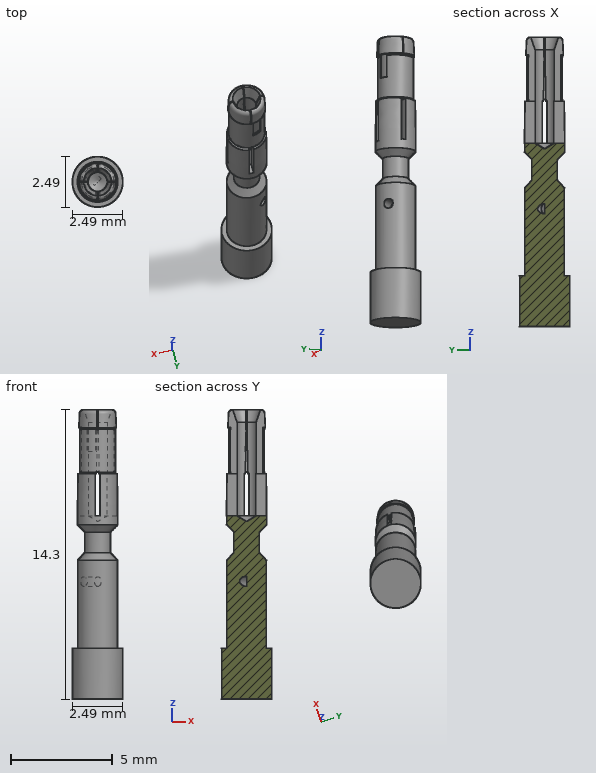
import cadquery as cq
import math

total_height = 14.25
collar_top = 2.51
barrel_top = 6.84
waist_bottom = 7.21
waist_top = 8.22
collet_bottom = 8.58
collet_taper_start = 9.58
collet_top = 11.1
sleeve_bottom = 11.17
sleeve_top = 13.28
head_bottom = 13.37
head_shoulder = 14.04

collar_radius = 1.247
barrel_radius = 0.98
collet_radius = 1.0
waist_radius = collet_radius - (collet_bottom - waist_top)
collet_top_radius = 0.976
sleeve_radius = 0.88
sleeve_wall = 0.09
tine_radius = sleeve_radius - sleeve_wall
head_radius = 0.93
shoulder_radius = 0.9
lip_rounding = total_height - head_shoulder

bore_radius = 0.47
mouth_radius = shoulder_radius - lip_rounding
mouth_depth = 0.63
bore_floor = 9.03
drill_point_angle = 118.0

collet_slot_width = 0.21
tine_slot_width = 0.13
head_slot_width = 0.05

notch_width = 0.45
notch_bottom = 12.2
notch_angle = 112.0

radial_hole_diameter = 0.47
radial_hole_height = 5.8
radial_hole_angle = 135.0


def turned_body():
    """Solid of revolution carrying every outer diameter except the sleeve."""
    rounding_mid = lip_rounding * math.sqrt(0.5)
    profile = (
        cq.Workplane("XZ")
        .moveTo(0, 0)
        .lineTo(collar_radius, 0)
        .lineTo(collar_radius, collar_top)
        .lineTo(barrel_radius, collar_top)
        .lineTo(barrel_radius, barrel_top)
        .lineTo(waist_radius, waist_bottom)
        .lineTo(waist_radius, waist_top)
        .lineTo(collet_radius, collet_bottom)
        .lineTo(collet_radius, collet_taper_start)
        .lineTo(collet_top_radius, collet_top)
        .lineTo(tine_radius, collet_top)
        .lineTo(tine_radius, head_bottom)
        .lineTo(head_radius, head_bottom)
        .lineTo(shoulder_radius, head_shoulder)
        .threePointArc(
            (mouth_radius + rounding_mid, head_shoulder + rounding_mid),
            (mouth_radius, total_height),
        )
        .lineTo(0, total_height)
        .close()
    )
    return profile.revolve(360, (0, 0, 0), (0, 1, 0))


def contact_bore():
    """Bore cutter: conical mouth, straight bore and drill point."""
    point_depth = bore_radius / math.tan(math.radians(drill_point_angle / 2))
    profile = (
        cq.Workplane("XZ")
        .moveTo(0, bore_floor - point_depth)
        .lineTo(bore_radius, bore_floor)
        .lineTo(bore_radius, total_height - mouth_depth)
        .lineTo(mouth_radius, total_height)
        .lineTo(0, total_height)
        .close()
    )
    return profile.revolve(360, (0, 0, 0), (0, 1, 0))


def cross_slot():
    """Two slots crossing at the axis, stepped at the collet top and closing up towards the head."""
    half_outline = [
        (collet_slot_width / 2, bore_floor),
        (collet_slot_width / 2, collet_top),
        (tine_slot_width / 2, collet_top),
        (head_slot_width / 2, head_bottom),
        (head_slot_width / 2, total_height),
    ]
    mirrored_outline = [(-across, height) for across, height in reversed(half_outline)]
    along_y = (
        cq.Workplane("XZ")
        .polyline(half_outline + mirrored_outline)
        .close()
        .extrude(collar_radius, both=True)
    )
    along_x = along_y.rotate((0, 0, 0), (0, 0, 1), 90)
    return along_x.union(along_y)


def sleeve():
    """Thin tube around the tines with a square notch in its upper edge."""
    tube = (
        cq.Workplane("XY", origin=(0, 0, sleeve_bottom))
        .circle(sleeve_radius)
        .circle(tine_radius)
        .extrude(sleeve_top - sleeve_bottom)
    )
    notch = (
        cq.Workplane("XY", origin=(sleeve_radius, 0, notch_bottom))
        .rect(sleeve_radius, notch_width)
        .extrude(sleeve_top - notch_bottom)
        .rotate((0, 0, 0), (0, 0, 1), notch_angle)
    )
    return tube.cut(notch)


def radial_hole():
    """Radial hole from the barrel surface to the axis."""
    return (
        cq.Workplane("YZ", origin=(0, 0, radial_hole_height))
        .circle(radial_hole_diameter / 2)
        .extrude(2 * barrel_radius)
        .rotate((0, 0, 0), (0, 0, 1), radial_hole_angle)
    )


contact = turned_body().cut(contact_bore())
contact = contact.cut(cross_slot())
result = contact.union(sleeve()).cut(radial_hole())